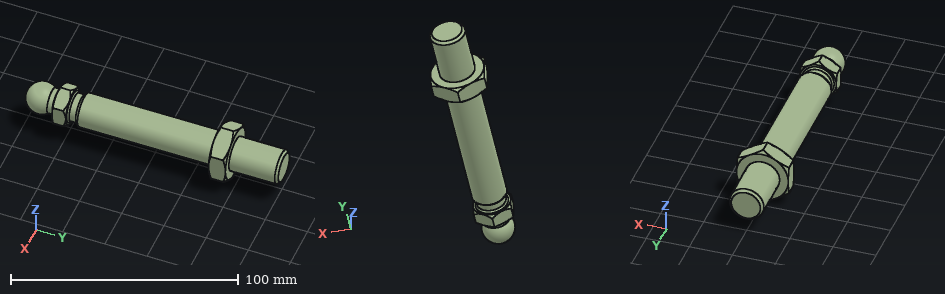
import cadquery as cq
import math

LENGTH = 122.0

BALL_DIAMETER = 15.0
BALL_RADIUS = BALL_DIAMETER / 2
BALL_NECK_RADIUS = 6.0

STUD_HEX_FLATS = 17.0
HEX_FRONT = 14.5
HEX_FRONT_CORNER = 15.9
HEX_BACK = 22.0
FLARE_SIZE = 0.9
FLARE_END = HEX_BACK + FLARE_SIZE

SHANK_DIAMETER = 16.0
SHANK_RADIUS = SHANK_DIAMETER / 2
GROOVE_RADIUS = 6.6
SHANK_START = 27.3
END_CHAMFER = 1.2

NUT_FLATS = 24.0
NUT_START = 91.0
NUT_THICKNESS = 8.0
NUT_CHAMFER_ANGLE = math.radians(30)


def corner_radius(flats):
    """Distance from the axis of a hexagon to its corners."""
    return flats / math.sqrt(3)


def hex_bar(flats, start, end):
    """Hexagonal bar along Y with corners pointing up and down."""
    return (
        cq.Workplane("XZ", origin=(0, start, 0))
        .polygon(6, 2 * corner_radius(flats))
        .extrude(start - end)
        .rotate((0, 0, 0), (0, 1, 0), 30)
    )


def turn(profile):
    """Revolve a closed (radius, station) profile around the Y axis."""
    return profile.close().revolve(360, (0, 0, 0), (0, 1, 0))


def make_ball_end():
    """Ball cut off where it meets its neck, with the neck up to the hexagon."""
    ball_back = BALL_RADIUS + math.sqrt(BALL_RADIUS**2 - BALL_NECK_RADIUS**2)
    profile = (
        cq.Workplane("XY")
        .threePointArc((BALL_RADIUS, BALL_RADIUS), (BALL_NECK_RADIUS, ball_back))
        .lineTo(BALL_NECK_RADIUS, HEX_FRONT)
        .lineTo(0, HEX_FRONT)
    )
    return turn(profile)


def make_stud_hex():
    """Hexagon trimmed by a shallow cone in front and a 45 degree chamfer behind."""
    corner = corner_radius(STUD_HEX_FLATS)
    face_radius = STUD_HEX_FLATS / 2
    back_chamfer = corner - face_radius
    envelope = (
        cq.Workplane("XY")
        .moveTo(0, HEX_FRONT)
        .lineTo(BALL_NECK_RADIUS, HEX_FRONT)
        .lineTo(corner, HEX_FRONT_CORNER)
        .lineTo(corner, HEX_BACK - back_chamfer)
        .lineTo(face_radius, HEX_BACK)
        .lineTo(0, HEX_BACK)
    )
    return hex_bar(STUD_HEX_FLATS, HEX_FRONT, HEX_BACK).intersect(turn(envelope))


def make_shank():
    """Flare, relief groove and shank, both ends of the shank chamfered at 45 degrees."""
    groove_end = SHANK_START - (SHANK_RADIUS - GROOVE_RADIUS)
    profile = (
        cq.Workplane("XY")
        .moveTo(0, HEX_BACK)
        .lineTo(GROOVE_RADIUS + FLARE_SIZE, HEX_BACK)
        .lineTo(GROOVE_RADIUS, FLARE_END)
        .lineTo(GROOVE_RADIUS, groove_end)
        .lineTo(SHANK_RADIUS, SHANK_START)
        .lineTo(SHANK_RADIUS, LENGTH - END_CHAMFER)
        .lineTo(SHANK_RADIUS - END_CHAMFER, LENGTH)
        .lineTo(0, LENGTH)
    )
    return turn(profile)


def make_nut():
    """Lock nut with its corners chamfered on both faces, bored to fit the shank."""
    corner = corner_radius(NUT_FLATS)
    face_radius = NUT_FLATS / 2
    chamfer_depth = (corner - face_radius) * math.tan(NUT_CHAMFER_ANGLE)
    nut_end = NUT_START + NUT_THICKNESS
    envelope = (
        cq.Workplane("XY")
        .moveTo(SHANK_RADIUS, NUT_START)
        .lineTo(face_radius, NUT_START)
        .lineTo(corner, NUT_START + chamfer_depth)
        .lineTo(corner, nut_end - chamfer_depth)
        .lineTo(face_radius, nut_end)
        .lineTo(SHANK_RADIUS, nut_end)
    )
    return hex_bar(NUT_FLATS, NUT_START, nut_end).intersect(turn(envelope))


ball_stud = make_ball_end().union(make_stud_hex()).union(make_shank())
lock_nut = make_nut()

result = cq.Compound.makeCompound([ball_stud.val(), lock_nut.val()])